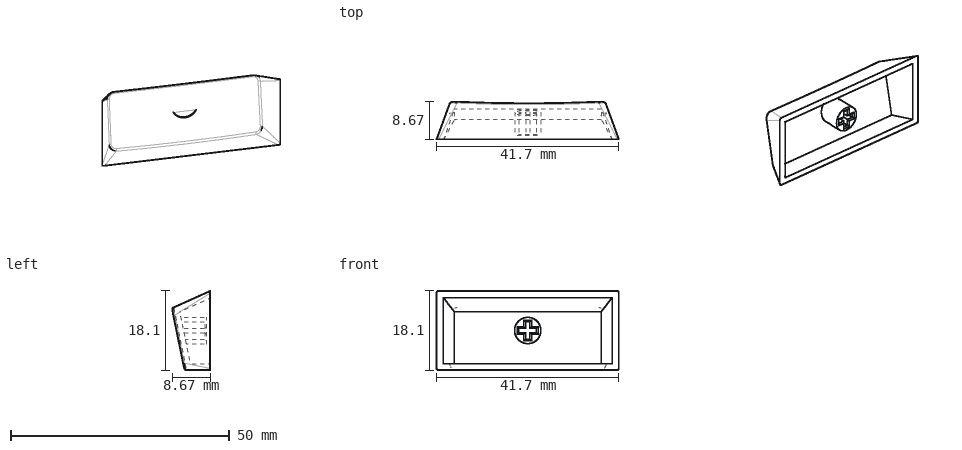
import cadquery as cq
import math

rim_length = 41.7
rim_height = 18.1
rim_radius = 0.4

crown_length = 35.53
crown_top_y, crown_top_z = 8.8, 5.1
crown_bottom_y = 5.92
crown_bottom_z = -rim_height / 2
crown_radius = 1.75
crown_edge_radius = 0.5
dish_depth = 0.45

opening_length = 38.55
opening_top_z = 7.45
cavity_bottom_z = -7.55
floor_length = 33.6
floor_top_y, floor_top_z = 7.0, 4.35

stem_radius = 3.0
stem_face_y = 0.9
cross_length = 4.75
cross_width = 1.75
bevel_inset = 0.38
bevel_depth = 0.3

crown_slope = (crown_top_y - crown_bottom_y) / (crown_top_z - crown_bottom_z)
crown_tilt = math.atan(crown_slope)
floor_y_at_origin = floor_top_y - crown_slope * floor_top_z


def upright_plane(y, z):
    """Plane facing +Y, with local x along -X and local y along Z."""
    return cq.Plane(origin=(0, y, z), xDir=(-1, 0, 0), normal=(0, 1, 0))


def tilted_plane(y, z):
    """Plane parallel to the crown through (0, y, z)."""
    normal = (0, math.cos(crown_tilt), -math.sin(crown_tilt))
    return cq.Plane(origin=(0, y, z), xDir=(-1, 0, 0), normal=normal)


def rectangle(plane, length, height, radius=0.0):
    """Rectangular wire, with rounded corners when a radius is given."""
    sketch = cq.Sketch().rect(length, height)
    if radius:
        sketch = sketch.vertices().fillet(radius)
    face = sketch.moved(cq.Location(plane)).faces().vals()[0]
    return face.outerWire()


def ruled_solid(first_wire, second_wire):
    return cq.Workplane(cq.Solid.makeLoft([first_wire, second_wire], True))


def tilted_height(z_low, z_high):
    """Length along the tilted plane between two Z levels."""
    return (z_high - z_low) / math.cos(crown_tilt)


def outer_body():
    middle_y = (crown_top_y + crown_bottom_y) / 2
    middle_z = (crown_top_z + crown_bottom_z) / 2
    crown_plane = tilted_plane(middle_y, middle_z)
    crown_height = tilted_height(crown_bottom_z, crown_top_z)
    body = ruled_solid(
        rectangle(upright_plane(0, 0), rim_length, rim_height, rim_radius),
        rectangle(crown_plane, crown_length, crown_height, crown_radius),
    )
    half_length = crown_length / 2
    dish_radius = (half_length**2 + dish_depth**2) / (2 * dish_depth)
    dish_plane = cq.Plane(
        origin=crown_plane.origin, xDir=(1, 0, 0), normal=crown_plane.yDir
    )
    dish = (
        cq.Workplane(dish_plane)
        .center(0, dish_radius - dish_depth)
        .circle(dish_radius)
        .extrude(rim_height, both=True)
    )
    body = body.cut(dish)
    dish_face = body.faces("%CYLINDER")
    return dish_face.edges().fillet(crown_edge_radius)


def cavity():
    opening_z = (opening_top_z + cavity_bottom_z) / 2
    floor_z = (floor_top_z + cavity_bottom_z) / 2
    floor_y = floor_y_at_origin + crown_slope * floor_z
    opening_height = opening_top_z - cavity_bottom_z
    floor_height = tilted_height(cavity_bottom_z, floor_top_z)
    return ruled_solid(
        rectangle(upright_plane(0, opening_z), opening_length, opening_height),
        rectangle(tilted_plane(floor_y, floor_z), floor_length, floor_height),
    )


def stem():
    """Round post ending inside the crown wall."""
    wall = crown_top_y - floor_top_y
    end_y = floor_y_at_origin + wall / 2
    return (
        cq.Workplane(upright_plane(stem_face_y, 0))
        .circle(stem_radius)
        .extrude(end_y - stem_face_y)
    )


def cross_arm(length, height):
    """Straight bar down to the cavity floor, with a wider bevelled mouth."""
    inner_length = length - 2 * bevel_inset
    inner_height = height - 2 * bevel_inset
    bevel_end = rectangle(upright_plane(stem_face_y + bevel_depth, 0), inner_length, inner_height)
    mouth = ruled_solid(rectangle(upright_plane(stem_face_y, 0), length, height), bevel_end)
    floor_end = rectangle(
        tilted_plane(floor_y_at_origin, 0), inner_length, inner_height / math.cos(crown_tilt)
    )
    return mouth.union(ruled_solid(bevel_end, floor_end))


shell = outer_body().cut(cavity()).union(stem())
socket = cross_arm(cross_length, cross_width).union(cross_arm(cross_width, cross_length))
result = shell.cut(socket)